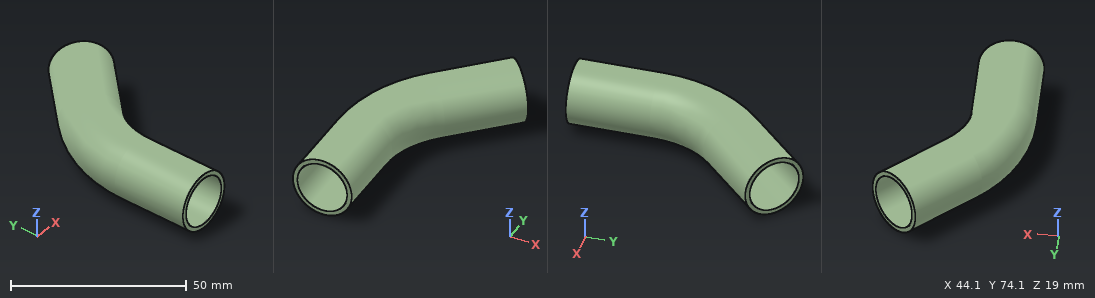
import cadquery as cq
import math

overall_length = 74.15
outer_diameter = 19.0
inner_diameter = 16.0
leg_length = 25.0
bend_angle = 45.0

bend_sin = math.sin(math.radians(bend_angle))
bend_cos = math.cos(math.radians(bend_angle))

outer_radius = outer_diameter / 2
bend_radius = (overall_length - leg_length * (1 + bend_cos)) / bend_sin - outer_radius

bend_start = (0, leg_length)
bend_middle = (
    bend_radius * (1 - math.cos(math.radians(bend_angle / 2))),
    leg_length + bend_radius * math.sin(math.radians(bend_angle / 2)),
)
bend_end = (
    bend_radius * (1 - bend_cos),
    leg_length + bend_radius * bend_sin,
)
far_end = (
    bend_end[0] + leg_length * bend_sin,
    bend_end[1] + leg_length * bend_cos,
)

centreline = (
    cq.Workplane("XY")
    .lineTo(*bend_start)
    .threePointArc(bend_middle, bend_end)
    .lineTo(*far_end)
)

result = (
    cq.Workplane("XZ")
    .circle(outer_radius)
    .circle(inner_diameter / 2)
    .sweep(centreline)
)